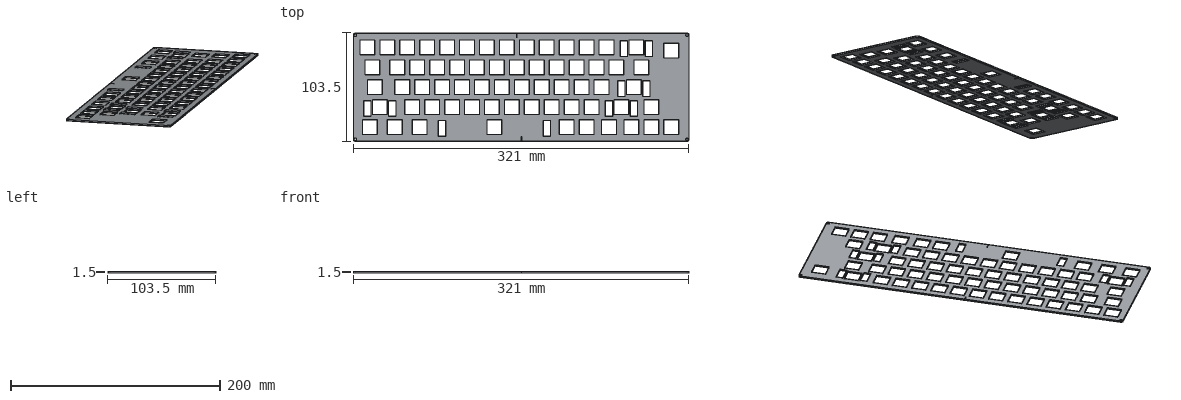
import cadquery as cq


plate_length = 321.0
plate_width = 103.5
plate_thickness = 1.5
corner_radius = 2.0

screw_hole_diameter = 2.2
screw_hole_inset = 2.0

first_to_last_key = 290.5
pitches_first_to_last = 15.25
key_pitch = first_to_last_key / pitches_first_to_last
first_key_inset = 13.5
grid_left = -plate_length / 2 + first_key_inset - key_pitch / 2
row_count = 5

web_between_switches = 5.0
switch_size = key_pitch - web_between_switches
single_key_drop = 3.2

stabilizer_width = 6.7
stabilizer_height = 14.8
stabilizer_drop = 1.3
wide_key_reach = 12.0
space_bar_reach = 50.0

slit_width = 0.3
slit_length = 4.2
rear_slit_x = -4.2
front_slit_x = 0.3


def key_run(first, count):
    """Centres of a run of neighbouring one-pitch keys."""
    return [first + step for step in range(count)]


key_rows = [
    key_run(0.5, 13) + [14],
    [0.75] + key_run(2, 12) + [14.25],
    [0.875] + key_run(2.25, 11) + [13.875],
    [1.125] + key_run(2.75, 10) + [13.25, 14.75],
    [0.625, 1.875, 3.125, 6.875, 10.5, 11.5, 12.625] + key_run(13.75, 3),
]
last_column = 0.5 + pitches_first_to_last

stabilized_keys = [
    (0, 14, wide_key_reach),
    (2, 13.875, wide_key_reach),
    (3, 1.125, wide_key_reach),
    (3, 13.25, wide_key_reach),
    (4, 6.875, space_bar_reach),
]


def key_x(column):
    return grid_left + column * key_pitch


def row_y(row):
    return ((row_count - 1) / 2 - row) * key_pitch


def rectangular_cutter(points, size_x, size_y):
    return cq.Workplane("XY").pushPoints(points).rect(size_x, size_y).extrude(plate_thickness)


def plate_blank():
    blank = cq.Workplane("XY").rect(plate_length, plate_width).extrude(plate_thickness)
    return blank.edges("|Z").fillet(corner_radius)


def screw_holes():
    spacing_x = plate_length - 2 * screw_hole_inset
    spacing_y = plate_width - 2 * screw_hole_inset
    corners = cq.Workplane("XY").rect(spacing_x, spacing_y, forConstruction=True).vertices()
    return corners.circle(screw_hole_diameter / 2).extrude(plate_thickness)


def switch_cutouts():
    centres = [(key_x(column), row_y(row)) for row, columns in enumerate(key_rows) for column in columns]
    centres.append((key_x(last_column), row_y(0) - single_key_drop))
    return rectangular_cutter(centres, switch_size, switch_size)


def stabilizer_cutouts():
    centres = [
        (key_x(column) + side * reach, row_y(row) - stabilizer_drop)
        for row, column, reach in stabilized_keys
        for side in (-1, 1)
    ]
    return rectangular_cutter(centres, stabilizer_width, stabilizer_height)


def edge_slits():
    centres = [(rear_slit_x, plate_width / 2), (front_slit_x, -plate_width / 2)]
    return rectangular_cutter(centres, slit_width, 2 * slit_length)


result = (
    plate_blank()
    .cut(screw_holes())
    .cut(switch_cutouts())
    .cut(stabilizer_cutouts())
    .cut(edge_slits())
)